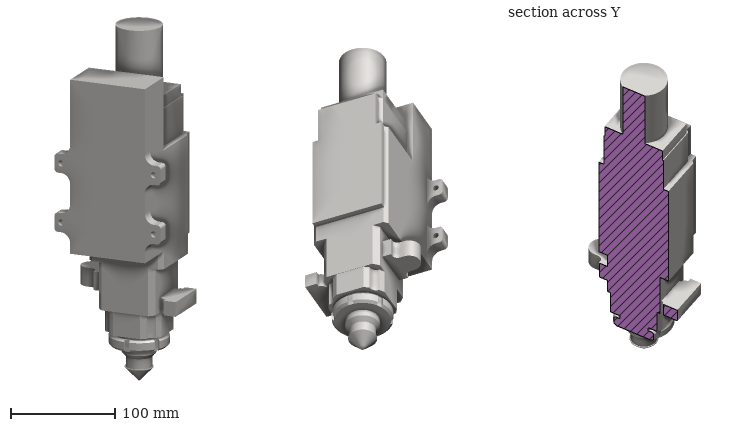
import cadquery as cq
import math


NEEDLE_CONE_TOP = 14.3
NEEDLE_RIM_TOP = 15.0
NOZZLE_CONE_BOTTOM = 25.5
NOZZLE_CONE_TOP = 29.5
RING_BOTTOM = 36.5
RING_TOP = 48.2
COLLAR_BOTTOM = 51.5
HEAD_BOTTOM = 76.8
BODY_BOTTOM = 124.5
HOUSING_BOTTOM = 143.0
SHOULDER = 244.0
UPPER_BODY_TOP = 281.8
CAP_TOP = 294.3
HOUSING_TOP = 317.0
MOTOR_TOP = 357.0

BODY_HALF_WIDTH = 39.3
BODY_FRONT = -34.0
BODY_BACK = 30.0
BODY_FRONT_CHAMFER = 4.5
BODY_BACK_CHAMFER = 3.5
HOUSING_FRONT = -74.5
HOUSING_BACK = -30.5

UPPER_HALF_WIDTH = 33.5
HOUSING_GAP = 1.0
UPPER_FRONT = HOUSING_BACK + HOUSING_GAP

PLATE_BACK = 36.5
LOWER_PLATE_HALF_WIDTH = 36.5
UPPER_PLATE_HALF_WIDTH = 30.5

CAP_WIDTH = 65.5
CAP_DEPTH = 49.3
MOTOR_RADIUS = 23.0

EAR_HALF_SPAN = 55.7
EAR_HALF_HEIGHT = 9.5
EAR_THICKNESS = 12.0
EAR_ROOT_RADIUS = 9.5
EAR_CORNER_RADIUS = 3.5
EAR_HOLE_X = 48.5
EAR_HOLE_DIAMETER = 6.0
EAR_HEIGHTS = (173.0, 232.0)

HEAD_HALF_WIDTH = 29.5
HEAD_CHAMFER = 5.5
COLLAR_FLAT_HALF = 14.3
COLLAR_POCKET_CENTER = 26.5
COLLAR_POCKET_RADIUS = 7.0

TAB_FILLET_RADIUS = 6.0
TAB_FILLET_DEPTH = 5.7
TAB_FILLET_RISE = TAB_FILLET_RADIUS - math.sqrt(TAB_FILLET_RADIUS**2 - TAB_FILLET_DEPTH**2)
NOSE_TAB_TIP = -60.5
NOSE_TAB_RADIUS = 11.5
NOSE_TAB_FLANGE_FACE = -39.0
NOSE_TAB_FLANGE_HALF = 19.5
NOSE_TAB_BOTTOM = 91.5
NOSE_TAB_TOP = 110.5
PLATE_TAB_INNER = 37.0
PLATE_TAB_OUTER = 49.3
PLATE_TAB_HALF = 24.5
PLATE_TAB_STEM_HALF = 16.5

RING_RADIUS = 29.5
RING_TOP_CHAMFER = 1.8
RING_BOTTOM_CHAMFER = 2.5
RING_NECK_RADIUS = 25.0
NOTCH_COUNT = 6
NOTCH_WIDTH = 5.5
NOTCH_FLOOR_RADIUS = 27.0
NOZZLE_RADIUS = 16.8
NEEDLE_SHANK_RADIUS = 13.0
NEEDLE_RIM_RADIUS = 14.0


def block(x_range, y_range, z_range):
    """Box spanning the given ranges."""
    low, high = zip(x_range, y_range, z_range)
    size = [top - bottom for bottom, top in zip(low, high)]
    return cq.Workplane("XY").box(*size, centered=False).translate(low)


def symmetric_block(half_width, y_range, z_range):
    """Box centred on X = 0."""
    return block((-half_width, half_width), y_range, z_range)


def make_body():
    lower = symmetric_block(BODY_HALF_WIDTH, (BODY_FRONT, BODY_BACK), (BODY_BOTTOM, SHOULDER))
    lower = lower.edges("|Z and <Y").chamfer(BODY_FRONT_CHAMFER)
    lower = lower.edges("|Z and >Y").chamfer(BODY_BACK_CHAMFER)
    upper = symmetric_block(UPPER_HALF_WIDTH, (UPPER_FRONT, BODY_BACK), (SHOULDER, UPPER_BODY_TOP))
    upper = upper.edges("|Z and >Y").chamfer(BODY_BACK_CHAMFER)
    web = symmetric_block(BODY_HALF_WIDTH, (HOUSING_BACK, 0), (HOUSING_BOTTOM, SHOULDER))
    housing = symmetric_block(
        BODY_HALF_WIDTH, (HOUSING_FRONT, HOUSING_BACK), (HOUSING_BOTTOM, HOUSING_TOP)
    )
    return lower.union(upper).union(web).union(housing)


def make_back_plate():
    depth = (BODY_BACK, PLATE_BACK)
    lower = symmetric_block(LOWER_PLATE_HALF_WIDTH, depth, (HOUSING_BOTTOM, SHOULDER))
    upper = symmetric_block(UPPER_PLATE_HALF_WIDTH, depth, (SHOULDER, UPPER_BODY_TOP))
    return lower.union(upper)


def make_motor():
    cap = (
        cq.Workplane("XY", origin=(0, 0, UPPER_BODY_TOP))
        .rect(CAP_WIDTH, CAP_DEPTH)
        .extrude(CAP_TOP - UPPER_BODY_TOP)
    )
    motor = (
        cq.Workplane("XY", origin=(0, 0, CAP_TOP))
        .circle(MOTOR_RADIUS)
        .extrude(MOTOR_TOP - CAP_TOP)
    )
    return cap.union(motor)


def make_ear_pair(height):
    """Two drilled ears with rounded tips, flared into the housing sides by root fillets."""
    depth = (HOUSING_FRONT, HOUSING_FRONT + EAR_THICKNESS)
    bar = symmetric_block(
        EAR_HALF_SPAN, depth, (height - EAR_HALF_HEIGHT, height + EAR_HALF_HEIGHT)
    )
    bar = bar.edges("|Y").fillet(EAR_CORNER_RADIUS)
    flare_half_height = EAR_HALF_HEIGHT + EAR_ROOT_RADIUS
    root_x = BODY_HALF_WIDTH + EAR_ROOT_RADIUS
    flare = symmetric_block(
        root_x, depth, (height - flare_half_height, height + flare_half_height)
    )
    plane = cq.Workplane("XZ", origin=(0, HOUSING_FRONT, height))
    root_points = [(sx * root_x, sz * flare_half_height) for sx in (-1, 1) for sz in (-1, 1)]
    root_cuts = plane.pushPoints(root_points).circle(EAR_ROOT_RADIUS).extrude(-EAR_THICKNESS)
    hole_points = [(-EAR_HOLE_X, 0), (EAR_HOLE_X, 0)]
    holes = plane.pushPoints(hole_points).circle(EAR_HOLE_DIAMETER / 2).extrude(-EAR_THICKNESS)
    return flare.cut(root_cuts).union(bar).cut(holes)


def make_head():
    head = symmetric_block(HEAD_HALF_WIDTH, (BODY_FRONT, BODY_BACK), (HEAD_BOTTOM, BODY_BOTTOM))
    return head.edges("|Z").chamfer(HEAD_CHAMFER)


def make_collar():
    """Square collar whose corners are bevelled and scooped out by round pockets."""
    near = COLLAR_POCKET_CENTER - COLLAR_POCKET_RADIUS
    far = COLLAR_POCKET_CENTER
    scoop = COLLAR_POCKET_CENTER - COLLAR_POCKET_RADIUS * math.sqrt(0.5)
    corner_path = [
        (HEAD_HALF_WIDTH, COLLAR_FLAT_HALF),
        (far, near),
        (scoop, scoop),
        (near, far),
        (COLLAR_FLAT_HALF, HEAD_HALF_WIDTH),
    ]
    outline = cq.Workplane("XY", origin=(0, 0, COLLAR_BOTTOM))
    outline = outline.moveTo(HEAD_HALF_WIDTH, -COLLAR_FLAT_HALF)
    quarter_turns = [(1, 0), (0, 1), (-1, 0), (0, -1)]
    for cos, sin in quarter_turns:
        start, arc_start, arc_middle, arc_end, end = [
            (x * cos - y * sin, x * sin + y * cos) for x, y in corner_path
        ]
        outline = outline.lineTo(*start).lineTo(*arc_start).threePointArc(arc_middle, arc_end)
        outline = outline.lineTo(*end)
    return outline.close().extrude(HEAD_BOTTOM - COLLAR_BOTTOM)


def make_nose_tab():
    """Round-nosed tab on the -X side, flaring to a flange at the head."""
    nose_x = NOSE_TAB_TIP + NOSE_TAB_RADIUS
    fillet_x = NOSE_TAB_FLANGE_FACE - TAB_FILLET_DEPTH
    root_half = NOSE_TAB_RADIUS + TAB_FILLET_RISE
    return (
        cq.Workplane("XY", origin=(0, 0, NOSE_TAB_BOTTOM))
        .moveTo(0, -NOSE_TAB_FLANGE_HALF)
        .lineTo(NOSE_TAB_FLANGE_FACE, -NOSE_TAB_FLANGE_HALF)
        .lineTo(NOSE_TAB_FLANGE_FACE, -root_half)
        .radiusArc((fillet_x, -NOSE_TAB_RADIUS), -TAB_FILLET_RADIUS)
        .lineTo(nose_x, -NOSE_TAB_RADIUS)
        .threePointArc((NOSE_TAB_TIP, 0), (nose_x, NOSE_TAB_RADIUS))
        .lineTo(fillet_x, NOSE_TAB_RADIUS)
        .radiusArc((NOSE_TAB_FLANGE_FACE, root_half), -TAB_FILLET_RADIUS)
        .lineTo(NOSE_TAB_FLANGE_FACE, NOSE_TAB_FLANGE_HALF)
        .lineTo(0, NOSE_TAB_FLANGE_HALF)
        .close()
        .extrude(NOSE_TAB_TOP - NOSE_TAB_BOTTOM)
    )


def make_plate_tab():
    """T-shaped tab on the +X side: a stem flaring by fillets into a flat outer plate."""
    fillet_x = PLATE_TAB_INNER - TAB_FILLET_DEPTH
    root_half = PLATE_TAB_STEM_HALF + TAB_FILLET_RISE
    return (
        cq.Workplane("XY", origin=(0, 0, HEAD_BOTTOM))
        .moveTo(0, -PLATE_TAB_STEM_HALF)
        .lineTo(fillet_x, -PLATE_TAB_STEM_HALF)
        .radiusArc((PLATE_TAB_INNER, -root_half), -TAB_FILLET_RADIUS)
        .lineTo(PLATE_TAB_INNER, -PLATE_TAB_HALF)
        .lineTo(PLATE_TAB_OUTER, -PLATE_TAB_HALF)
        .lineTo(PLATE_TAB_OUTER, PLATE_TAB_HALF)
        .lineTo(PLATE_TAB_INNER, PLATE_TAB_HALF)
        .lineTo(PLATE_TAB_INNER, root_half)
        .radiusArc((fillet_x, PLATE_TAB_STEM_HALF), -TAB_FILLET_RADIUS)
        .lineTo(0, PLATE_TAB_STEM_HALF)
        .close()
        .extrude(NOSE_TAB_BOTTOM - HEAD_BOTTOM)
    )


def make_ring():
    """Clamp ring with evenly spaced notches, joined to the collar by a round neck."""
    neck = (
        cq.Workplane("XY", origin=(0, 0, RING_TOP))
        .circle(RING_NECK_RADIUS)
        .extrude(COLLAR_BOTTOM - RING_TOP)
    )
    ring = (
        cq.Workplane("XY", origin=(0, 0, RING_BOTTOM))
        .circle(RING_RADIUS)
        .extrude(RING_TOP - RING_BOTTOM)
        .faces(">Z")
        .chamfer(RING_TOP_CHAMFER)
        .faces("<Z")
        .chamfer(RING_BOTTOM_CHAMFER)
    )
    half_notch = NOTCH_WIDTH / 2
    notch = block(
        (NOTCH_FLOOR_RADIUS, RING_RADIUS), (-half_notch, half_notch), (RING_BOTTOM, RING_TOP)
    )
    notch_pitch = 360 / NOTCH_COUNT
    for index in range(NOTCH_COUNT):
        angle = notch_pitch * (index + 0.5)
        ring = ring.cut(notch.rotate((0, 0, 0), (0, 0, 1), angle))
    return ring.union(neck)


def make_nozzle():
    """Stepped nozzle and pointed needle, turned about the spindle axis."""
    profile = [
        (0, 0),
        (NEEDLE_RIM_RADIUS, NEEDLE_CONE_TOP),
        (NEEDLE_RIM_RADIUS, NEEDLE_RIM_TOP),
        (NEEDLE_SHANK_RADIUS, NEEDLE_RIM_TOP),
        (NEEDLE_SHANK_RADIUS, NOZZLE_CONE_BOTTOM),
        (NOZZLE_RADIUS, NOZZLE_CONE_TOP),
        (NOZZLE_RADIUS, RING_BOTTOM),
        (0, RING_BOTTOM),
    ]
    return cq.Workplane("XZ").polyline(profile).close().revolve(360, (0, 0, 0), (0, 1, 0))


result = make_body().union(make_back_plate()).union(make_motor())
for ear_height in EAR_HEIGHTS:
    result = result.union(make_ear_pair(ear_height))
result = result.union(make_head()).union(make_nose_tab()).union(make_plate_tab())
result = result.union(make_collar()).union(make_ring()).union(make_nozzle())